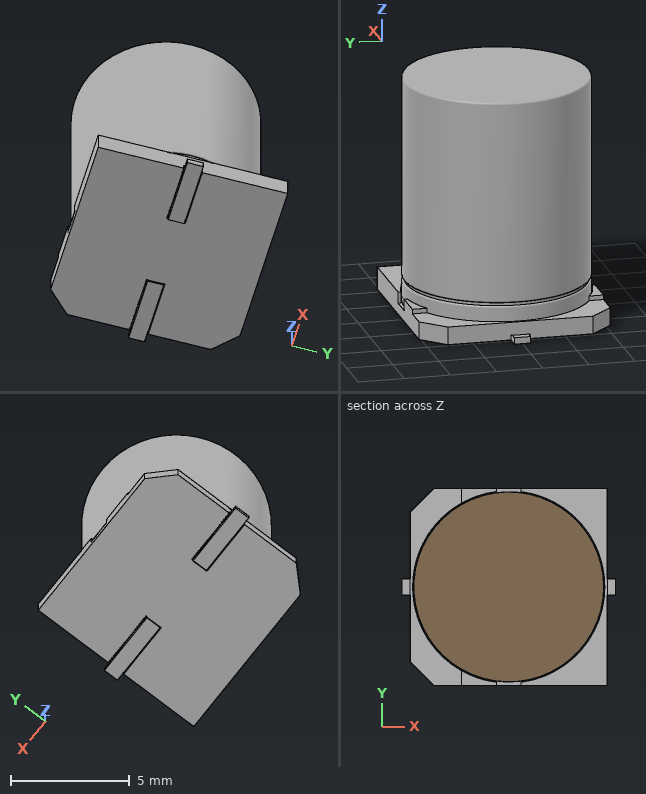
import cadquery as cq

total_height = 10.5
lead_span = 9.0
base_side = 8.3

standoff = 0.08
low_deck_z = 0.87
high_deck_z = 1.07
deck_step_x = -2.0
corner_chamfer = 1.0
notch_width = 1.04
notch_floor_z = 0.58
socket_radius = 4.04

can_radius = 4.0
can_rim_fillet = 0.1
groove_bottom_z = 1.53
groove_top_z = 1.67
groove_floor_radius = 3.9
groove_lip_radius = 0.08

lead_width = 0.7
lead_thickness = 0.29
lead_inner_x = 1.58
lead_slot_width = 0.81


def block(x_min, x_max, width_y, z_min, z_max):
    """Box between two X and two Z limits, centred on Y."""
    return (
        cq.Workplane("XY", origin=((x_min + x_max) / 2, 0, z_min))
        .box(x_max - x_min, width_y, z_max - z_min, centered=(True, True, False))
    )


def cylinder(radius, z_min, z_max):
    """Upright cylinder on the Z axis between two heights."""
    return cq.Workplane("XY", origin=(0, 0, z_min)).circle(radius).extrude(z_max - z_min)


def make_base():
    """Square base with two chamfered corners, a stepped deck, side notches and a round socket."""
    half = base_side / 2
    base = block(-half, half, base_side, standoff, high_deck_z)
    base = base.edges("|Z and <X").chamfer(corner_chamfer)
    base = base.cut(block(-half, deck_step_x, base_side, low_deck_z, high_deck_z))
    notches = block(-notch_width / 2, notch_width / 2, base_side, notch_floor_z, high_deck_z)
    socket = cylinder(socket_radius, notch_floor_z, high_deck_z)
    return base.cut(notches).cut(socket)


def make_can():
    """Round can with a rounded rim and a round-lipped crimp groove."""
    foot = cylinder(can_radius, notch_floor_z, groove_bottom_z)
    foot = foot.faces(">Z").edges().fillet(groove_lip_radius)
    neck = cylinder(groove_floor_radius, notch_floor_z, groove_top_z + groove_lip_radius)
    barrel = cylinder(can_radius, groove_top_z, total_height)
    barrel = barrel.faces("<Z").edges().fillet(groove_lip_radius)
    barrel = barrel.faces(">Z").edges().fillet(can_rim_fillet)
    return foot.union(neck).union(barrel)


part = make_base().union(make_can())
for side in (-1, 1):
    inner_x = side * lead_inner_x
    base_edge_x = side * base_side / 2
    tip_x = side * lead_span / 2
    slot_start, slot_end = sorted((inner_x, base_edge_x))
    lead_start, lead_end = sorted((inner_x, tip_x))
    slot = block(slot_start, slot_end, lead_slot_width, standoff, lead_thickness)
    lead = block(lead_start, lead_end, lead_width, 0, lead_thickness)
    part = part.cut(slot).union(lead)

result = part